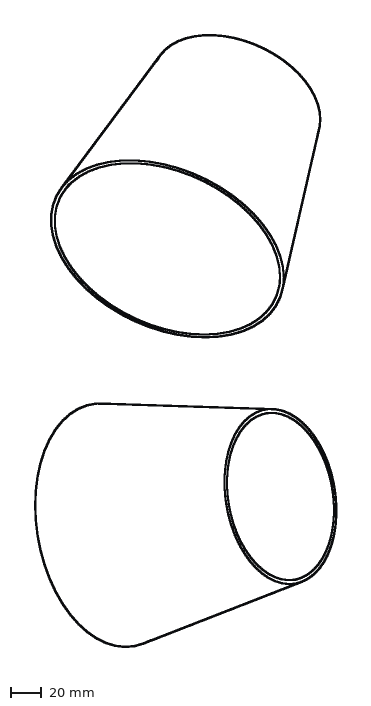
import cadquery as cq

LARGE_DIAMETER = 159.0
SMALL_DIAMETER = 114.3
WALL = 2.6
LENGTH = 140.0

large_radius = LARGE_DIAMETER / 2
small_radius = SMALL_DIAMETER / 2


def reducer_shell():
    """Revolve the sloping wall section around the Y axis."""
    wall_section = [
        (large_radius - WALL, 0),
        (large_radius, 0),
        (small_radius, LENGTH),
        (small_radius - WALL, LENGTH),
    ]
    return cq.Workplane("XY").polyline(wall_section).close().revolve(360, (0, 0, 0), (0, 1, 0))


result = reducer_shell()